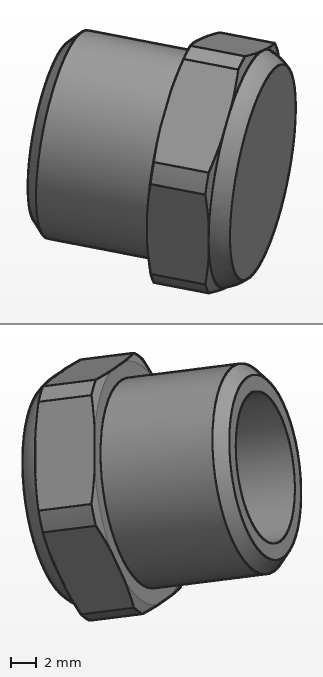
import cadquery as cq

length = 17.0
barrel_diameter = 16.63
barrel_chamfer = 1.0
bore_diameter = 12.01
end_wall = 1.47

hex_start = 10.5
hex_end = 15.55
hex_across_flats = 19.0
hex_corner_diameter = 21.0
hex_face_diameter = 19.25
hex_chamfer_length = 0.27

cap_base_diameter = 19.0
cap_shoulder_diameter = 17.75
cap_end_diameter = 17.22
cap_shoulder_x = 16.7


def revolve_about_x(profile):
    """Revolve a closed (X, radius) profile around the plug axis."""
    return profile.close().revolve(360, (0, 0, 0), (1, 0, 0))


def make_barrel():
    radius = barrel_diameter / 2
    return revolve_about_x(
        cq.Workplane("XY")
        .moveTo(0, 0)
        .lineTo(0, radius - barrel_chamfer)
        .lineTo(barrel_chamfer, radius)
        .lineTo(hex_start, radius)
        .lineTo(hex_start, 0)
    )


def make_collar():
    collar = revolve_about_x(
        cq.Workplane("XY")
        .moveTo(hex_start, 0)
        .lineTo(hex_start, hex_face_diameter / 2)
        .lineTo(hex_start + hex_chamfer_length, hex_corner_diameter / 2)
        .lineTo(hex_end - hex_chamfer_length, hex_corner_diameter / 2)
        .lineTo(hex_end, hex_face_diameter / 2)
        .lineTo(hex_end, 0)
    )
    for angle in (0, 60, 120):
        slab = (
            cq.Workplane("XY")
            .box(2 * length, hex_across_flats, 2 * hex_corner_diameter)
            .rotate((0, 0, 0), (1, 0, 0), angle)
        )
        collar = collar.intersect(slab)
    return collar


def make_cap():
    return revolve_about_x(
        cq.Workplane("XY")
        .moveTo(hex_end, 0)
        .lineTo(hex_end, cap_base_diameter / 2)
        .threePointArc((cap_shoulder_x, cap_shoulder_diameter / 2), (length, cap_end_diameter / 2))
        .lineTo(length, 0)
    )


def make_bore():
    return cq.Workplane("YZ").circle(bore_diameter / 2).extrude(length - end_wall)


result = make_barrel().union(make_collar()).union(make_cap()).cut(make_bore())